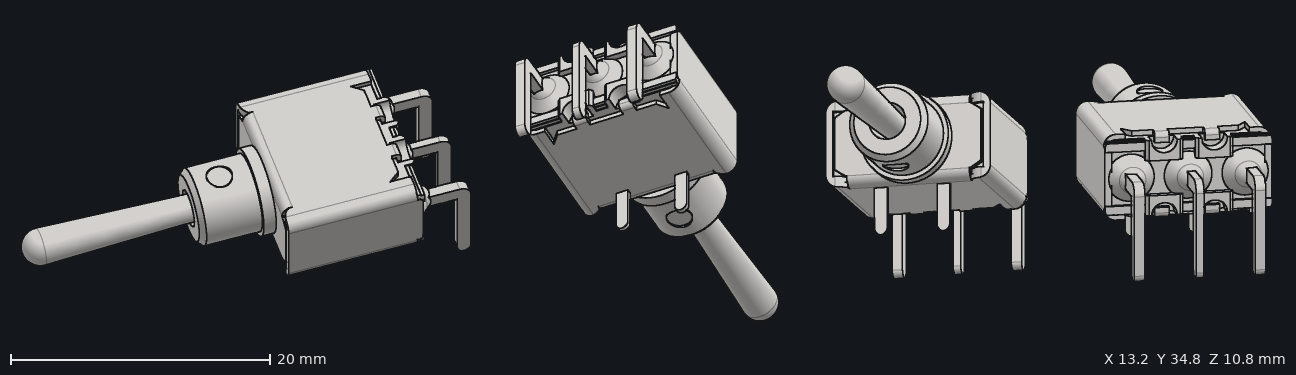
import cadquery as cq


BODY_WIDTH = 13.2
BODY_HEIGHT = 6.85
CORNER_RADIUS = 0.95
SIDE_WALL = 0.55
WALL = 0.42
FRAME_BACK = 10.47
SIDE_BACK = 10.93
SIDE_CHAMFER = 0.2
ROLL_RADIUS = 0.85
ROLL_HALF_WIDTH = 4.9

PLATE_HALF_WIDTH = 5.85
PLATE_CHAMFER_X = 0.8
PLATE_CHAMFER_Z = 0.52
RELIEF_DEPTH = 0.52
RELIEF_RADIUS = 1.4

CUTOUT_FRONT = 9.67
CUTOUT_CORNER_X = 4.2
CUTOUT_CORNER_Y = 8.8
TAB_X = 2.0
TAB_WIDTH = 1.15
TAB_BEND_Y = 10.05
TAB_DROP = 0.42

COLLAR_RADIUS = 3.5
COLLAR_LENGTH = 1.0
BARREL_RADIUS = 3.13
BARREL_FRONT = -6.0
BARREL_CHAMFER = 0.45
BORE_RADIUS = 1.45
SPOT_RADIUS = 1.0
SPOT_Y = -3.48
SPOT_HEIGHT = 2.92

GROUND_PIN_X = 2.5
GROUND_PIN_WIDTH = 1.0
GROUND_PIN_THICKNESS = 0.4
GROUND_PIN_Y = 1.4
GROUND_PIN_BOTTOM = -7.17

LUG_HALF_SPAN = 3.45
LUG_BACK = 11.35
LUG_BOTTOM = 1.4
LUG_CHAMFER = 0.25
LUG_GAP = 0.97
TROUGH_RADIUS = 1.0
LEDGE_TOP = 2.92
LEDGE_BACK = 10.8
LIP_TOP = 2.85
LIP_BOTTOM = 2.15
LIP_BACK = 11.05
DOME_X = 4.55
DOME_TOP = 12.18
DOME_RIM_Y = 11.55
DOME_RIM_RADIUS = 1.05
DOME_FOOT_RADIUS = 1.88
TERMINAL_X = 4.77
TERMINAL_WIDTH = 0.85
MIDDLE_TERMINAL_WIDTH = 0.63
TERMINAL_HEIGHT = 1.2
TERMINAL_LEG = 1.1
TERMINAL_BACK = 15.28
TERMINAL_BOTTOM = -7.25
TERMINAL_BEND = 0.95

LEVER_ROOT_RADIUS = 0.97
LEVER_BALL_RADIUS = 1.5
OVERALL_LENGTH = 34.8
LEVER_TIP = TERMINAL_BACK - OVERALL_LENGTH

HALF_WIDTH = BODY_WIDTH / 2
HALF_HEIGHT = BODY_HEIGHT / 2
BASE_HALF_WIDTH = HALF_WIDTH - SIDE_WALL
BASE_HALF_HEIGHT = HALF_HEIGHT - WALL
PLATE_HALF_HEIGHT = HALF_HEIGHT - ROLL_RADIUS
FLAT_HALF_HEIGHT = HALF_HEIGHT - CORNER_RADIUS
BORE_FLOOR = -COLLAR_LENGTH


def block(x0, x1, y0, y1, z0, z1):
    """Box between two opposite corners."""
    return cq.Workplane("XY").box(x1 - x0, y1 - y0, z1 - z0, centered=False).translate((x0, y0, z0))


def centred_block(half_x, y0, y1, half_z):
    """Box symmetric about X = 0 and Z = 0."""
    return block(-half_x, half_x, y0, y1, -half_z, half_z)


def rod(radius, y0, y1):
    """Cylinder along the Y axis."""
    return cq.Workplane("XZ", origin=(0, y1, 0)).circle(radius).extrude(y1 - y0)


def both_x(shape):
    """Shape together with its mirror image across X = 0."""
    return shape.union(shape.mirror("YZ"))


def both_z(shape):
    """Shape together with its mirror image across Z = 0."""
    return shape.union(shape.mirror("XY"))


def rounded_block(y0, y1):
    """Length of the outer body section, with its rounded corners."""
    return centred_block(HALF_WIDTH, y0, y1, HALF_HEIGHT).edges("|Y").fillet(CORNER_RADIUS)


def base_core():
    """Block that fills the cavity of the frame."""
    core = centred_block(BASE_HALF_WIDTH, WALL, FRAME_BACK, BASE_HALF_HEIGHT)
    return core.edges("|Y").fillet(CORNER_RADIUS - SIDE_WALL)


def front_rolls():
    """Corner strips outside the rounded upper and lower front edges."""
    corner = block(-ROLL_HALF_WIDTH, ROLL_HALF_WIDTH, 0, ROLL_RADIUS, PLATE_HALF_HEIGHT, HALF_HEIGHT)
    bend = (
        cq.Workplane("YZ", origin=(-ROLL_HALF_WIDTH, 0, 0))
        .center(ROLL_RADIUS, PLATE_HALF_HEIGHT)
        .circle(ROLL_RADIUS)
        .extrude(2 * ROLL_HALF_WIDTH)
    )
    return both_z(corner.cut(bend))


def front_slots():
    """Slots beside the front plate, with its chamfered corners."""
    opening = centred_block(BASE_HALF_WIDTH, 0, WALL, PLATE_HALF_HEIGHT)
    chamfer_x = PLATE_HALF_WIDTH - PLATE_CHAMFER_X
    chamfer_z = PLATE_HALF_HEIGHT - PLATE_CHAMFER_Z
    plate = (
        cq.Workplane("XZ", origin=(0, WALL, 0))
        .polyline([
            (PLATE_HALF_WIDTH, -chamfer_z),
            (PLATE_HALF_WIDTH, chamfer_z),
            (chamfer_x, PLATE_HALF_HEIGHT),
            (-chamfer_x, PLATE_HALF_HEIGHT),
            (-PLATE_HALF_WIDTH, chamfer_z),
            (-PLATE_HALF_WIDTH, -chamfer_z),
            (-chamfer_x, -PLATE_HALF_HEIGHT),
            (chamfer_x, -PLATE_HALF_HEIGHT),
        ])
        .close()
        .extrude(WALL)
    )
    return opening.cut(plate)


def corner_reliefs():
    """Curved bend reliefs at the four front corners."""
    relief = (
        cq.Workplane("XY", origin=(0, 0, PLATE_HALF_HEIGHT))
        .moveTo(ROLL_HALF_WIDTH, 0)
        .lineTo(PLATE_HALF_WIDTH, 0)
        .radiusArc((ROLL_HALF_WIDTH, RELIEF_DEPTH), RELIEF_RADIUS)
        .close()
        .extrude(ROLL_RADIUS)
    )
    return both_x(both_z(relief))


def rear_cutouts():
    """Cutouts at the back of the top and bottom walls."""
    cutout = (
        cq.Workplane("XY", origin=(0, 0, BASE_HALF_HEIGHT))
        .polyline([
            (-ROLL_HALF_WIDTH, FRAME_BACK),
            (-ROLL_HALF_WIDTH, CUTOUT_CORNER_Y),
            (-CUTOUT_CORNER_X, CUTOUT_FRONT),
            (CUTOUT_CORNER_X, CUTOUT_FRONT),
            (ROLL_HALF_WIDTH, CUTOUT_CORNER_Y),
            (ROLL_HALF_WIDTH, FRAME_BACK),
        ])
        .close()
        .extrude(WALL)
    )
    return both_z(cutout)


def crimp_tabs():
    """Four tabs that run back over the base and bend into its troughs."""
    bend_end = TAB_BEND_Y + WALL
    tab = (
        cq.Workplane("YZ", origin=(TAB_X - TAB_WIDTH / 2, 0, 0))
        .moveTo(CUTOUT_FRONT, BASE_HALF_HEIGHT)
        .lineTo(CUTOUT_FRONT, HALF_HEIGHT)
        .lineTo(TAB_BEND_Y, HALF_HEIGHT)
        .radiusArc((bend_end, BASE_HALF_HEIGHT), WALL)
        .lineTo(bend_end, BASE_HALF_HEIGHT - TAB_DROP)
        .lineTo(TAB_BEND_Y, BASE_HALF_HEIGHT - TAB_DROP)
        .lineTo(TAB_BEND_Y, BASE_HALF_HEIGHT)
        .close()
        .extrude(TAB_WIDTH)
    )
    return both_x(both_z(tab))


def side_ends():
    """Rear ends of the side walls, with chamfered corners."""
    end = block(BASE_HALF_WIDTH, HALF_WIDTH, FRAME_BACK, SIDE_BACK, -FLAT_HALF_HEIGHT, FLAT_HALF_HEIGHT)
    return both_x(end.faces(">Y").edges("|X").chamfer(SIDE_CHAMFER))


def bushing():
    """Collar and barrel with a spot face above and below."""
    collar = rod(COLLAR_RADIUS, -COLLAR_LENGTH, 0)
    barrel = rod(BARREL_RADIUS, BARREL_FRONT, 0).faces("<Y").edges().chamfer(BARREL_CHAMFER)
    spot = (
        cq.Workplane("XY", origin=(0, SPOT_Y, SPOT_HEIGHT))
        .circle(SPOT_RADIUS)
        .extrude(BARREL_RADIUS - SPOT_HEIGHT)
    )
    return barrel.cut(both_z(spot)).union(collar)


def ground_pins():
    """Two flat pins with round ends below the frame."""
    radius = GROUND_PIN_WIDTH / 2
    pin = (
        cq.Workplane("XZ", origin=(GROUND_PIN_X, GROUND_PIN_Y + GROUND_PIN_THICKNESS / 2, 0))
        .moveTo(-radius, -BASE_HALF_HEIGHT)
        .lineTo(-radius, GROUND_PIN_BOTTOM + radius)
        .threePointArc((0, GROUND_PIN_BOTTOM), (radius, GROUND_PIN_BOTTOM + radius))
        .lineTo(radius, -BASE_HALF_HEIGHT)
        .close()
        .extrude(GROUND_PIN_THICKNESS)
    )
    return both_x(pin)


def make_frame():
    """Can with its bushing, ground pins and crimp tabs."""
    shell = rounded_block(0, FRAME_BACK).cut(base_core())
    shell = shell.cut(front_rolls()).cut(front_slots()).cut(corner_reliefs()).cut(rear_cutouts())
    shell = shell.union(side_ends()).union(crimp_tabs()).union(bushing()).union(ground_pins())
    return shell.cut(rod(BORE_RADIUS, BARREL_FRONT, BORE_FLOOR))


def lugs():
    """Raised rear lugs on the upper and lower edges of the base, split by a central gap."""
    lug = block(-LUG_HALF_SPAN, LUG_HALF_SPAN, FRAME_BACK, LUG_BACK, LUG_BOTTOM, BASE_HALF_HEIGHT)
    gap = block(-LUG_GAP / 2, LUG_GAP / 2, FRAME_BACK, LUG_BACK, LUG_BOTTOM, BASE_HALF_HEIGHT)
    lug = lug.cut(gap).faces(">Y").edges("|Z").chamfer(LUG_CHAMFER)
    return both_z(lug)


def troughs():
    """Half-round grooves across the lugs."""
    trough = rod(TROUGH_RADIUS, TAB_BEND_Y, LUG_BACK).translate((TAB_X, 0, BASE_HALF_HEIGHT))
    return both_x(both_z(trough))


def dome():
    """Sealing dome around a terminal: a spherical cap on a conical foot."""
    cap_height = DOME_TOP - DOME_RIM_Y
    cap_radius = (DOME_RIM_RADIUS ** 2 + cap_height ** 2) / (2 * cap_height)
    return (
        cq.Workplane("XY")
        .moveTo(0, FRAME_BACK)
        .lineTo(0, DOME_TOP)
        .radiusArc((DOME_RIM_RADIUS, DOME_RIM_Y), cap_radius)
        .lineTo(DOME_FOOT_RADIUS, LEDGE_BACK)
        .lineTo(DOME_FOOT_RADIUS, FRAME_BACK)
        .close()
        .revolve(360, (0, 0, 0), (0, 1, 0))
    )


def terminal(width):
    """Terminal bent down at a right angle, with a round end."""
    half = TERMINAL_HEIGHT / 2
    leg_front = TERMINAL_BACK - TERMINAL_LEG
    end_centre = TERMINAL_BOTTOM + TERMINAL_LEG / 2
    return (
        cq.Workplane("YZ", origin=(-width / 2, 0, 0))
        .moveTo(FRAME_BACK, half)
        .lineTo(TERMINAL_BACK - TERMINAL_BEND, half)
        .radiusArc((TERMINAL_BACK, half - TERMINAL_BEND), TERMINAL_BEND)
        .lineTo(TERMINAL_BACK, end_centre)
        .threePointArc((TERMINAL_BACK - TERMINAL_LEG / 2, TERMINAL_BOTTOM), (leg_front, end_centre))
        .lineTo(leg_front, -half)
        .lineTo(FRAME_BACK, -half)
        .close()
        .extrude(width)
    )


def make_base():
    """Base with a stepped rear rim, lugs, sealing domes and three terminals."""
    floor = centred_block(BASE_HALF_WIDTH, FRAME_BACK, LEDGE_BACK, FLAT_HALF_HEIGHT)
    outline = rounded_block(FRAME_BACK, LIP_BACK)
    ledge = block(-HALF_WIDTH, HALF_WIDTH, FRAME_BACK, LEDGE_BACK, LIP_BOTTOM, LEDGE_TOP)
    lip = block(-HALF_WIDTH, HALF_WIDTH, FRAME_BACK, LIP_BACK, LIP_BOTTOM, LIP_TOP)
    base = base_core().cut(corner_reliefs()).union(floor).union(both_z(ledge.union(lip).intersect(outline)))
    base = base.union(lugs()).cut(troughs())
    for x in (-DOME_X, 0, DOME_X):
        base = base.union(dome().translate((x, 0, 0)))
    for x, width in (
        (-TERMINAL_X, TERMINAL_WIDTH),
        (0, MIDDLE_TERMINAL_WIDTH),
        (TERMINAL_X, TERMINAL_WIDTH),
    ):
        base = base.union(terminal(width).translate((x, 0, 0)))
    return base.cut(side_ends())


def make_lever():
    """Tapered lever with a spherical tip, standing on the floor of the bore."""
    ball_y = LEVER_TIP + LEVER_BALL_RADIUS
    return (
        cq.Workplane("XY")
        .moveTo(0, BORE_FLOOR)
        .lineTo(LEVER_ROOT_RADIUS, BORE_FLOOR)
        .lineTo(LEVER_BALL_RADIUS, ball_y)
        .radiusArc((0, LEVER_TIP), LEVER_BALL_RADIUS)
        .close()
        .revolve(360, (0, 0, 0), (0, 1, 0))
    )


frame = make_frame()
base = make_base()
lever = make_lever()
result = cq.Compound.makeCompound([frame.val(), base.val(), lever.val()])